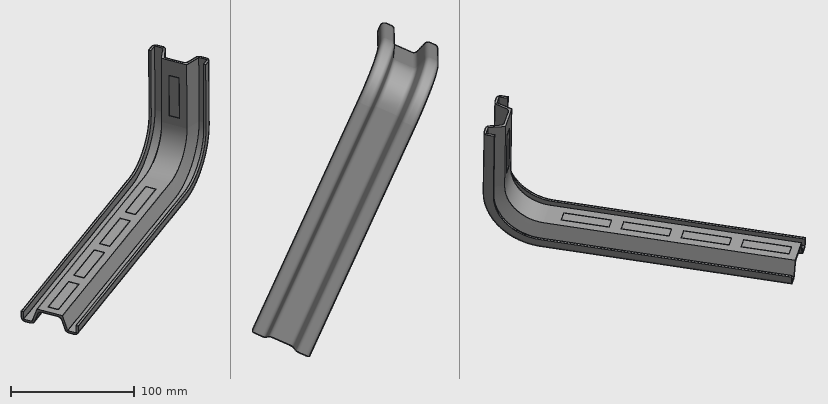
import cadquery as cq
import math

arm_reach = 257.5
total_height = 112.0
section_width = 51.0
section_height = 15.5

sheet = 2.0
web_half_width = 11.3
trough_half_width = 16.0
lip_height = 9.3
corner_radius = 3.9
match_tolerance = 0.03

outer_bend_radius = 48.0
lean_angle = 0.7

slot_length = 40.0
slot_width = 9.0
slot_depth = 0.3
slot_pitch = 50.0
arm_slot_count = 4
arm_end_margin = 6.7
leg_end_margin = 15.2

arm_end_y = -arm_reach / 2
bend_center_y = arm_reach / 2 - outer_bend_radius
lean = math.radians(lean_angle)

leg_direction = (-math.sin(lean), math.cos(lean))
web_direction = (-math.cos(lean), -math.sin(lean))

leg_start = (
    bend_center_y - outer_bend_radius * web_direction[0],
    outer_bend_radius - outer_bend_radius * web_direction[1],
)
leg_length = (total_height - leg_start[1]) / leg_direction[1]
leg_end = (
    leg_start[0] + leg_length * leg_direction[0],
    leg_start[1] + leg_length * leg_direction[1],
)


def is_at_corner(vertex, corners):
    """True where the vertex lies on one of the (x, z) corners."""
    return any(math.dist((vertex.X, vertex.Z), corner) < match_tolerance for corner in corners)


def make_section():
    """Open hat section with sharp corners on top and rounded corners below."""
    half_width = section_width / 2
    web_underside = section_height - sheet

    run_per_rise = (trough_half_width - web_half_width) / (section_height - sheet)
    wall_shift = sheet * math.hypot(1, run_per_rise)

    def lower_wall_x(z):
        return web_half_width + (section_height - z) * run_per_rise - wall_shift

    right_half = [
        (web_half_width, section_height),
        (trough_half_width, sheet),
        (half_width - sheet, sheet),
        (half_width - sheet, lip_height),
        (half_width, lip_height),
        (half_width, 0),
        (lower_wall_x(0), 0),
        (lower_wall_x(web_underside), web_underside),
    ]
    left_half = [(-x, z) for x, z in reversed(right_half)]
    lower_corners = right_half[-3:] + left_half[:3]
    outline = right_half + left_half
    wire = cq.Wire.makePolygon([cq.Vector(x, 0, z) for x, z in outline], close=True)
    rounded = [v for v in wire.Vertices() if is_at_corner(v, lower_corners)]
    return wire.fillet2D(corner_radius, rounded).translate(cq.Vector(0, arm_end_y, 0))


def make_path():
    """Arm, bend and leg followed along the outer face of the section."""
    half_bend = math.radians(90 + lean_angle) / 2
    bend_middle = (
        bend_center_y + outer_bend_radius * math.sin(half_bend),
        outer_bend_radius * (1 - math.cos(half_bend)),
    )
    return (
        cq.Workplane("YZ")
        .moveTo(arm_end_y, 0)
        .lineTo(bend_center_y, 0)
        .threePointArc(bend_middle, leg_start)
        .lineTo(*leg_end)
    )


def slot_mark(y, z, tilt):
    """Cutter sunk into a web surface point, turned about X by tilt degrees."""
    return (
        cq.Workplane("XY")
        .box(slot_width, slot_length, 2 * slot_depth)
        .rotate((0, 0, 0), (1, 0, 0), tilt)
        .translate((0, y, z))
    )


section = cq.Workplane("XZ", origin=(0, arm_end_y, 0)).newObject([make_section()]).toPending()
result = section.sweep(make_path())

first_slot_y = arm_end_y + arm_end_margin + slot_length / 2
for index in range(arm_slot_count):
    result = result.cut(slot_mark(first_slot_y + index * slot_pitch, section_height, 0))

leg_slot_offset = leg_end_margin + slot_length / 2
leg_slot_y = leg_end[0] - leg_slot_offset * leg_direction[0] + section_height * web_direction[0]
leg_slot_z = leg_end[1] - leg_slot_offset * leg_direction[1] + section_height * web_direction[1]
result = result.cut(slot_mark(leg_slot_y, leg_slot_z, 90 + lean_angle))